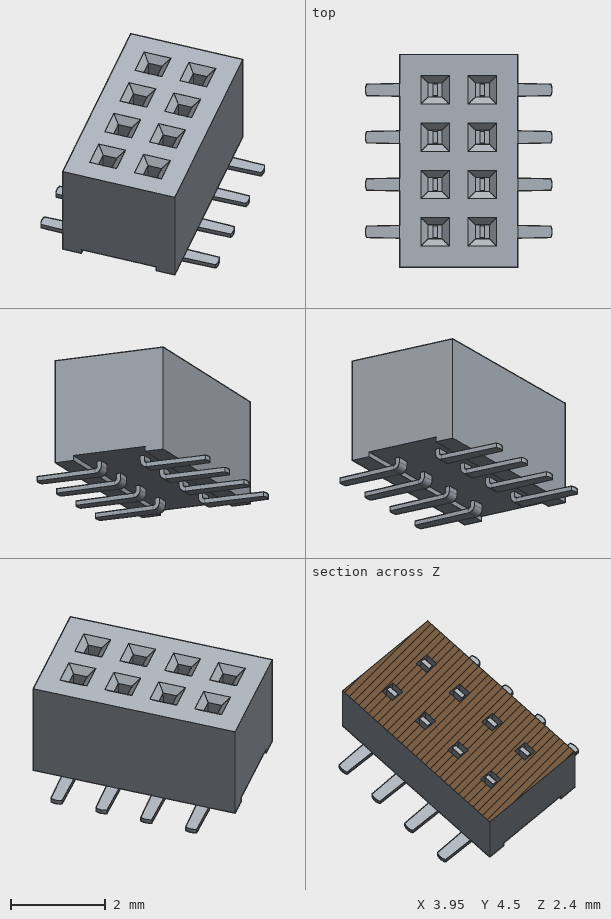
import cadquery as cq

body_width = 2.5
body_length = 4.5
body_height = 2.25
foot_width = 0.42
channel_depth = 0.11

rows = 4
end_margin_in_pitches = 0.75
pitch = body_length / (rows - 1 + 2 * end_margin_in_pitches)
column_x = pitch / 2
row_ys = [(row - (rows - 1) / 2) * pitch for row in range(rows)]

mouth_size = 0.6
socket_size = 0.3
floor_size = 0.292
lead_in_depth = 0.15
socket_depth = 1.5

overall_width = 3.95
overall_height = 2.4
strip_thickness = 0.1
strip_width = 0.3
tip_width = 0.248
tip_bulge = 0.025
bend_inner_radius = 0.05
blade_top = 1.575

body_bottom = overall_height - body_height
socket_floor = overall_height - socket_depth
bend_outer_radius = bend_inner_radius + strip_thickness
blade_inner_x = column_x - strip_thickness / 2
bend_x = blade_inner_x + bend_outer_radius


def make_body():
    underside = cq.Workplane("XY", origin=(0, 0, body_bottom))
    block = underside.rect(body_width, body_length).extrude(body_height)
    channel = (
        underside
        .rect(body_width - 2 * foot_width, body_length)
        .extrude(channel_depth)
    )
    return block.cut(channel)


def make_socket(x, y):
    lead_in = (
        cq.Workplane("XY", origin=(x, y, overall_height))
        .rect(mouth_size, mouth_size)
        .workplane(offset=-lead_in_depth)
        .rect(socket_size, socket_size)
        .loft(ruled=True)
    )
    hole = (
        cq.Workplane("XY", origin=(x, y, socket_floor))
        .rect(floor_size, floor_size)
        .workplane(offset=socket_depth - lead_in_depth)
        .rect(socket_size, socket_size)
        .loft(ruled=True)
    )
    return lead_in.union(hole)


def make_tail():
    """Horizontal leg, tapering to a rounded tip."""
    tip_x = overall_width / 2
    shoulder_x = tip_x - tip_bulge
    return (
        cq.Workplane("XY")
        .moveTo(bend_x, -strip_width / 2)
        .lineTo(shoulder_x, -tip_width / 2)
        .threePointArc((tip_x, 0), (shoulder_x, tip_width / 2))
        .lineTo(bend_x, strip_width / 2)
        .close()
        .extrude(strip_thickness)
    )


def make_blade():
    """Upright leg, straight up to the socket floor, then tapering to a flat top."""
    return (
        cq.Workplane("YZ", origin=(blade_inner_x, 0, 0))
        .moveTo(-strip_width / 2, bend_outer_radius)
        .lineTo(-strip_width / 2, socket_floor)
        .lineTo(-tip_width / 2, blade_top)
        .lineTo(tip_width / 2, blade_top)
        .lineTo(strip_width / 2, socket_floor)
        .lineTo(strip_width / 2, bend_outer_radius)
        .close()
        .extrude(strip_thickness)
    )


def make_bend():
    """Quarter ring joining the two legs."""
    ring = (
        cq.Workplane("XZ", origin=(bend_x, 0, bend_outer_radius))
        .circle(bend_outer_radius)
        .circle(bend_inner_radius)
        .extrude(strip_width / 2, both=True)
    )
    quarter = cq.Workplane("XY", origin=(blade_inner_x, 0, 0)).box(
        bend_outer_radius, strip_width, bend_outer_radius, centered=(False, True, False)
    )
    return ring.intersect(quarter)


def make_contact():
    """Contact on the +X side, centred on y = 0."""
    return make_bend().union(make_tail()).union(make_blade())


result = make_body()
for y in row_ys:
    for x in (-column_x, column_x):
        result = result.cut(make_socket(x, y))

right_contact = make_contact()
left_contact = right_contact.mirror("YZ")
for y in row_ys:
    result = result.union(right_contact.translate((0, y, 0)))
    result = result.union(left_contact.translate((0, y, 0)))